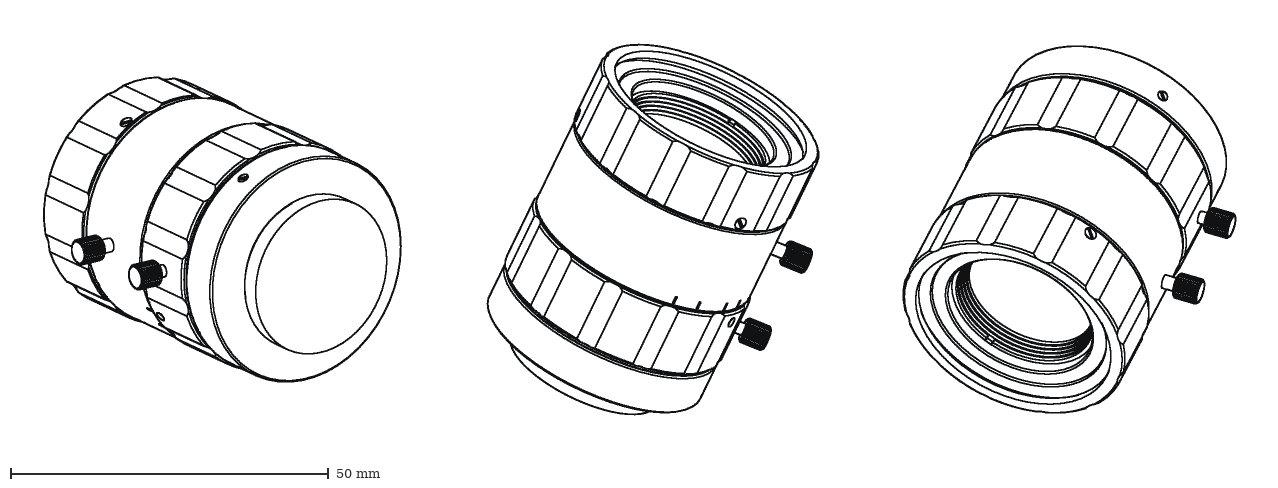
import cadquery as cq
import math


total_length = 49.25
total_width = 43.4

front_ring_end = 10.9
barrel_start = 11.25
barrel_end = 26.25
rear_ring_start = 26.45
rear_ring_end = 37.9
collar_start = 38.4
collar_end = 45.3
mount_start = 46.25

grip_diameter = 37.5
grip_radius = grip_diameter / 2
barrel_radius = 18.5
gap_radius = 18.05
mount_neck_radius = 11.9
mount_radius = 12.65
grip_chamfer = 0.35
front_ring_rear_chamfer = 0.2
barrel_chamfer = 0.25
collar_chamfer = 0.3

flute_count = 12
flute_pitch = 360 / flute_count
flute_half_angle = 4.9
flute_radius = 3.45

lip_radius = 16.5
lip_depth = 1.35
relief_radius = 17.25
first_floor_x = 2.2
recess_radius = 14.9
recess_floor_radius = 14.75
recess_floor_x = 2.65
bore_radius = 12.2
bore_chamfer = 0.3
bore_end_x = 4.7
step_radius = 11.55
step_count = 5
step_drop = 0.25
step_length = 0.65

notch_width = 1.2
notch_angles = (60, 240)

front_thumb_x = 17.9
front_stem_radius = 1.1
front_knob_top = total_width - grip_radius
rear_thumb_x = 32.65
rear_stem_radius = 1.0
rear_knob_top = 24.15
stem_embed = 0.5
knob_radius = 2.0
knob_length = 4.05
knob_chamfer = 0.3
knurl_count = 24
knurl_depth = 0.22

ring_screw_x = 9.5
ring_screw_radius = 1.0
ring_screw_angles = (60, 180, 300)
collar_screw_x = 41.05
collar_screw_radius = 0.85
collar_screw_angle = 60
set_screw_sink = 0.05
slot_width = 0.35
slot_depth = 0.4
slot_turn = 45

cut_clearance = 0.5

dimple_x = 28.5
dimple_angle = -30
dimple_radius = 0.85
dimple_floor_radius = 0.4
dimple_depth = 0.45

mark_angles = (-30, -42, -60.5, -74.3)
mark_length = 1.7
mark_width = 0.25
mark_depth = 0.05


def around_axis(shape, angle):
    """Turn a shape from the -Y side to the given angle around the lens axis."""
    return shape.rotate((0, 0, 0), (1, 0, 0), -angle)


def radial_plane(x, radius):
    """Plane on the -Y side at the given radius, facing outwards."""
    return cq.Plane(origin=(x, -radius, 0), xDir=(1, 0, 0), normal=(0, -1, 0))


def revolved(points):
    """Turn a closed (x, radius) outline around the lens axis."""
    return cq.Workplane("XY").polyline(points).close().revolve(360, (0, 0, 0), (1, 0, 0))


def chamfered_band(start, end, radius, front_chamfer, rear_chamfer):
    """Outline points of a cylindrical band with both rims chamfered."""
    return [
        (start, radius - front_chamfer),
        (start + front_chamfer, radius),
        (end - rear_chamfer, radius),
        (end, radius - rear_chamfer),
    ]


def make_body():
    outline = [(0, 0)]
    outline += chamfered_band(0, front_ring_end, grip_radius, grip_chamfer, front_ring_rear_chamfer)
    outline += [(front_ring_end, gap_radius), (barrel_start, gap_radius)]
    outline += chamfered_band(barrel_start, barrel_end, barrel_radius, barrel_chamfer, barrel_chamfer)
    outline += [(barrel_end, gap_radius), (rear_ring_start, gap_radius)]
    outline += chamfered_band(rear_ring_start, rear_ring_end, grip_radius, grip_chamfer, grip_chamfer)
    outline += [(rear_ring_end, gap_radius), (collar_start, gap_radius)]
    outline += chamfered_band(collar_start, collar_end, barrel_radius, collar_chamfer, collar_chamfer)
    outline += [
        (collar_end, mount_neck_radius),
        (mount_start, mount_neck_radius),
        (mount_start, mount_radius),
        (total_length, mount_radius),
        (total_length, 0),
    ]
    return revolved(outline)


def make_bore():
    outline = [
        (0, 0),
        (0, lip_radius),
        (lip_depth, lip_radius),
        (lip_depth, relief_radius),
        (first_floor_x, relief_radius),
        (first_floor_x, recess_radius),
        (recess_floor_x, recess_floor_radius),
        (recess_floor_x, bore_radius + bore_chamfer),
        (recess_floor_x + bore_chamfer, bore_radius),
        (bore_end_x, bore_radius),
    ]
    for i in range(step_count):
        radius = step_radius - i * step_drop
        start = bore_end_x + i * step_length
        outline += [(start, radius), (start + step_length, radius)]
    outline.append((bore_end_x + step_count * step_length, 0))
    return revolved(outline)


def make_notch(angle):
    notch = (
        cq.Workplane("YZ", origin=(bore_end_x, 0, 0))
        .center(-bore_radius / 2, 0)
        .rect(bore_radius, notch_width)
        .extrude(step_length)
    )
    return around_axis(notch, angle)


def make_flutes(start, end):
    """Concave grooves between the raised pads of a grip ring."""
    half_width = grip_radius * math.sin(math.radians(flute_half_angle))
    rim_distance = grip_radius * math.cos(math.radians(flute_half_angle))
    centre_distance = rim_distance + math.sqrt(flute_radius**2 - half_width**2)
    flutes = cq.Workplane("YZ", origin=(start, 0, 0))
    flutes = flutes.polarArray(centre_distance, flute_pitch / 2, 360, flute_count)
    return flutes.circle(flute_radius).extrude(end - start)


def make_thumb_screw(x, stem_radius, head_top):
    """Knob with V-shaped knurling on a plain stem, pointing towards -Y."""
    stem_root = gap_radius - stem_embed
    head_bottom = head_top - knob_length
    stem = cq.Workplane(radial_plane(x, stem_root)).circle(stem_radius).extrude(head_bottom - stem_root)
    head_plane = radial_plane(x, head_bottom)
    head = cq.Workplane(head_plane).circle(knob_radius).extrude(knob_length)
    head = head.faces("<Y or >Y").chamfer(knob_chamfer)
    knurl = (
        cq.Workplane(head_plane)
        .polarArray(knob_radius, 0, 360, knurl_count)
        .polygon(4, 2 * knurl_depth)
        .extrude(knob_length)
    )
    return stem.union(head.cut(knurl))


def make_set_screw(x, surface_radius, screw_radius, angle):
    """Flat screw end just below the surface, with a driver slot across it."""
    seat_radius = surface_radius - set_screw_sink
    seat = cq.Workplane(radial_plane(x, seat_radius)).circle(screw_radius).extrude(cut_clearance)
    slot_floor = radial_plane(x, seat_radius - slot_depth)
    slot = cq.Workplane(slot_floor).transformed(rotate=(0, 0, slot_turn))
    slot = slot.slot2D(2 * screw_radius, slot_width).extrude(slot_depth)
    return around_axis(seat.union(slot), angle)


def make_dimple():
    dimple = (
        cq.Workplane(radial_plane(dimple_x, grip_radius))
        .circle(dimple_radius)
        .workplane(offset=-dimple_depth)
        .circle(dimple_floor_radius)
        .loft()
    )
    return around_axis(dimple, dimple_angle)


def make_mark(angle):
    mark = (
        cq.Workplane(radial_plane(barrel_end - mark_length / 2, barrel_radius - mark_depth))
        .rect(mark_length, mark_width)
        .extrude(cut_clearance)
    )
    return around_axis(mark, angle)


body = make_body().cut(make_bore())
for angle in notch_angles:
    body = body.cut(make_notch(angle))
body = body.cut(make_flutes(0, front_ring_end))
body = body.cut(make_flutes(rear_ring_start, rear_ring_end))

for angle in ring_screw_angles:
    body = body.cut(make_set_screw(ring_screw_x, grip_radius, ring_screw_radius, angle))
body = body.cut(make_set_screw(collar_screw_x, barrel_radius, collar_screw_radius, collar_screw_angle))

body = body.cut(make_dimple())
for angle in mark_angles:
    body = body.cut(make_mark(angle))

front_thumb_screw = make_thumb_screw(front_thumb_x, front_stem_radius, front_knob_top)
rear_thumb_screw = make_thumb_screw(rear_thumb_x, rear_stem_radius, rear_knob_top)
result = body.union(front_thumb_screw).union(rear_thumb_screw)